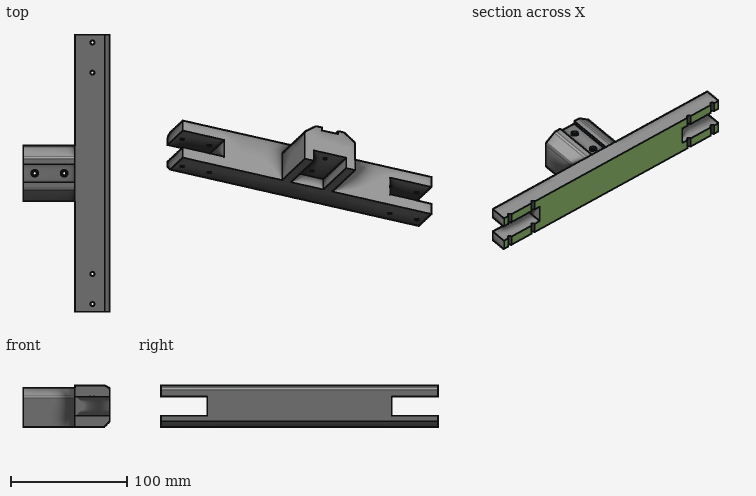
import cadquery as cq

bar_length = 238.1
bar_width = 30.0
bar_height = 36.0
bottom_chamfer = 5.0
top_bevel_width = 4.5
top_bevel_drop = 2.5
bevel_round = 2.1
fork_depth = 39.8
jaw_thickness = 10.0
fork_gap_top = 26.2
pin_hole_diameter = 3.3
pin_hole_end_distances = (6.7, 32.6)

saddle_length = 44.5
saddle_width = 48.0
saddle_height = 34.0
shoulder_width = 10.5
shoulder_drop = 7.6
shoulder_round = 2.6
crest_round = 3.8
groove_width = 15.5
groove_depth = 2.9
channel_width = 31.0
channel_height = jaw_thickness
saddle_hole_diameter = 3.3
saddle_recess_diameter = 6.0
saddle_recess_depth = 2.9
saddle_hole_offset = 10.0
saddle_hole_spacing = 25.2


def box(x_start, x_size, y_center, y_size, z_start, z_size):
    """Box placed by its low X and Z faces and its Y center."""
    return (
        cq.Workplane("XY", origin=(x_start, y_center, z_start))
        .box(x_size, y_size, z_size, centered=(False, True, False))
    )


def vertical_cylinders(points, diameter, z_start, height):
    """Equal cylinders standing at the given XY points."""
    return (
        cq.Workplane("XY", origin=(0, 0, z_start))
        .pushPoints(points)
        .circle(diameter / 2)
        .extrude(height)
    )


def make_bar():
    bar = (
        cq.Workplane("XZ", origin=(0, bar_length / 2, 0))
        .moveTo(0, 0)
        .lineTo(bar_width - bottom_chamfer, 0)
        .lineTo(bar_width, bottom_chamfer)
        .lineTo(bar_width, bar_height - top_bevel_drop)
        .lineTo(bar_width - top_bevel_width, bar_height)
        .lineTo(0, bar_height)
        .close()
        .extrude(bar_length)
    )
    bevel_edge = cq.selectors.NearestToPointSelector((bar_width, 0, bar_height - top_bevel_drop))
    bar = bar.edges(bevel_edge).fillet(bevel_round)

    hole_points = []
    for side in (-1, 1):
        fork_center = side * (bar_length - fork_depth) / 2
        fork_gap = fork_gap_top - jaw_thickness
        bar = bar.cut(box(0, bar_width, fork_center, fork_depth, jaw_thickness, fork_gap))
        for distance in pin_hole_end_distances:
            hole_points.append((bar_width / 2, side * (bar_length / 2 - distance)))
    return bar.cut(vertical_cylinders(hole_points, pin_hole_diameter, 0, bar_height))


def make_saddle():
    half_width = saddle_width / 2
    shoulder_y = half_width - shoulder_width
    shoulder_z = saddle_height - shoulder_drop
    saddle = (
        cq.Workplane("YZ", origin=(-saddle_length, 0, 0))
        .moveTo(-half_width, 0)
        .lineTo(half_width, 0)
        .lineTo(half_width, shoulder_z)
        .lineTo(shoulder_y, saddle_height)
        .lineTo(-shoulder_y, saddle_height)
        .lineTo(-half_width, shoulder_z)
        .close()
        .extrude(saddle_length)
    )
    for side in (-1, 1):
        for y, z, radius in (
            (half_width, shoulder_z, shoulder_round),
            (shoulder_y, saddle_height, crest_round),
        ):
            corner = cq.selectors.NearestToPointSelector((-saddle_length / 2, side * y, z))
            saddle = saddle.edges(corner).fillet(radius)

    groove_floor = saddle_height - groove_depth
    saddle = saddle.cut(box(-saddle_length, saddle_length, 0, groove_width, groove_floor, groove_depth))
    saddle = saddle.cut(box(-saddle_length, saddle_length, 0, channel_width, 0, channel_height))

    first_x = saddle_hole_offset - saddle_length
    points = [(first_x, 0), (first_x + saddle_hole_spacing, 0)]
    recess_floor = groove_floor - saddle_recess_depth
    saddle = saddle.cut(vertical_cylinders(points, saddle_hole_diameter, 0, saddle_height))
    return saddle.cut(
        vertical_cylinders(points, saddle_recess_diameter, recess_floor, saddle_recess_depth)
    )


bar_and_saddle = make_bar().union(make_saddle())

result = bar_and_saddle.translate(((saddle_length - bar_width) / 2, 0, 0))